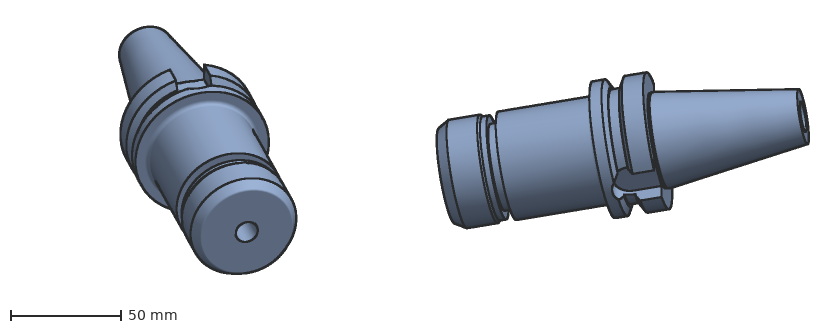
import cadquery as cq
import math

TAPER_END = -65.4
NECK_START = 1.0
FLANGE_START = 2.0
FLANGE_END = 27.0
GROOVE_CENTER = 16.6
BODY_END = 71.8
NUT_START = 76.3
NUT_COLLAR_END = 79.3
NUT_BODY_START = 80.4
NUT_NOSE_START = 94.6
NOSE_END = 100.0

GAUGE_DIAMETER = 44.45
NECK_DIAMETER = 44.0
FLANGE_DIAMETER = 63.0
GROOVE_DIAMETER = 53.0
BODY_DIAMETER = 50.0
SPINDLE_DIAMETER = 40.0
NUT_COLLAR_DIAMETER = 48.0

TAPER_RATIO = 7 / 24
GROOVE_FLOOR_WIDTH = 5.0
GROOVE_RIM_WIDTH = 9.4
FLANK_ANGLE = 30.0
NOSE_CONE_ANGLE = 30.0

SHOULDER_RADIUS = 2.0
NOSE_EDGE_RADIUS = 1.0

STUD_HOLE_DIAMETER = 14.0
STUD_HOLE_DEPTH = 30.0
THROUGH_HOLE_DIAMETER = 10.4

SLOT_WIDTH = 16.1
SLOT_END = 23.0
SLOT_FLOOR = 22.6


def revolve_about_axis(stations):
    """Revolve a half outline given as (axial position, diameter) pairs about X."""
    outline = [(x, diameter / 2) for x, diameter in stations]
    first_x = stations[0][0]
    last_x = stations[-1][0]
    outline = [(first_x, 0)] + outline + [(last_x, 0)]
    return cq.Workplane("XY").polyline(outline).close().revolve(360, (0, 0, 0), (1, 0, 0))


def make_shank():
    """Taper, short neck and flange with its gripper groove."""
    taper_end_diameter = GAUGE_DIAMETER + TAPER_END * TAPER_RATIO
    floor_half = GROOVE_FLOOR_WIDTH / 2
    rim_half = GROOVE_RIM_WIDTH / 2
    flank_height = (rim_half - floor_half) / math.tan(math.radians(FLANK_ANGLE))
    wall_top_diameter = FLANGE_DIAMETER - 2 * flank_height
    return revolve_about_axis([
        (TAPER_END, taper_end_diameter),
        (0, GAUGE_DIAMETER),
        (NECK_START, GAUGE_DIAMETER),
        (NECK_START, NECK_DIAMETER),
        (FLANGE_START, NECK_DIAMETER),
        (FLANGE_START, FLANGE_DIAMETER),
        (GROOVE_CENTER - rim_half, FLANGE_DIAMETER),
        (GROOVE_CENTER - floor_half, wall_top_diameter),
        (GROOVE_CENTER - floor_half, GROOVE_DIAMETER),
        (GROOVE_CENTER + floor_half, GROOVE_DIAMETER),
        (GROOVE_CENTER + floor_half, wall_top_diameter),
        (GROOVE_CENTER + rim_half, FLANGE_DIAMETER),
        (FLANGE_END, FLANGE_DIAMETER),
    ])


def make_body_and_nut():
    """Cylindrical body, exposed spindle and nut with a rounded conical nose."""
    cone_drop = (NOSE_END - NUT_NOSE_START) * math.tan(math.radians(NOSE_CONE_ANGLE))
    nose_diameter = BODY_DIAMETER - 2 * cone_drop
    turned = revolve_about_axis([
        (FLANGE_END, BODY_DIAMETER),
        (BODY_END, BODY_DIAMETER),
        (BODY_END, SPINDLE_DIAMETER),
        (NUT_START, SPINDLE_DIAMETER),
        (NUT_START, NUT_COLLAR_DIAMETER),
        (NUT_COLLAR_END, NUT_COLLAR_DIAMETER),
        (NUT_BODY_START, BODY_DIAMETER),
        (NUT_NOSE_START, BODY_DIAMETER),
        (NOSE_END, nose_diameter),
    ])
    return turned.faces(">X").edges().fillet(NOSE_EDGE_RADIUS)


def make_shoulder_round():
    """Disc with a concave rim that fills the corner between flange and body."""
    body_radius = BODY_DIAMETER / 2
    disc_radius = body_radius + SHOULDER_RADIUS
    round_end = FLANGE_END + SHOULDER_RADIUS
    arc_offset = SHOULDER_RADIUS * (1 - math.sqrt(0.5))
    return (
        cq.Workplane("XY")
        .moveTo(FLANGE_END, 0)
        .lineTo(FLANGE_END, disc_radius)
        .threePointArc(
            (FLANGE_END + arc_offset, body_radius + arc_offset),
            (round_end, body_radius),
        )
        .lineTo(round_end, 0)
        .close()
        .revolve(360, (0, 0, 0), (1, 0, 0))
    )


def make_bore():
    """Through hole with the wider pull-stud hole at the taper end."""
    start = cq.Workplane("YZ", origin=(TAPER_END, 0, 0))
    through_hole = start.circle(THROUGH_HOLE_DIAMETER / 2).extrude(NOSE_END - TAPER_END)
    stud_hole = start.circle(STUD_HOLE_DIAMETER / 2).extrude(STUD_HOLE_DEPTH)
    return through_hole.union(stud_hole)


def make_key_slot(side):
    """Flat-bottomed slot with a round end; side is +1 for +Z and -1 for -Z."""
    half_width = SLOT_WIDTH / 2
    arc_start = SLOT_END - half_width
    return (
        cq.Workplane("XY", origin=(0, 0, side * SLOT_FLOOR))
        .moveTo(0, -half_width)
        .lineTo(arc_start, -half_width)
        .threePointArc((SLOT_END, 0), (arc_start, half_width))
        .lineTo(0, half_width)
        .close()
        .extrude(side * FLANGE_DIAMETER / 2)
    )


result = make_shank().union(make_body_and_nut()).union(make_shoulder_round())
result = result.cut(make_bore())
for slot_side in (1, -1):
    result = result.cut(make_key_slot(slot_side))